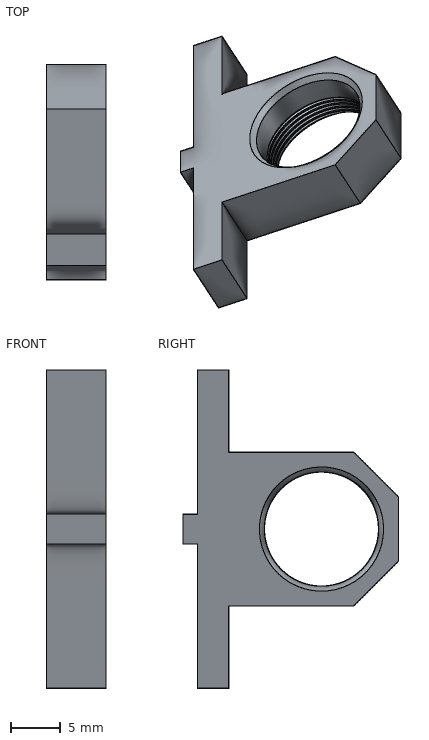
import cadquery as cq

thickness = 6.0
bar_height = 32.0
total_depth = 21.65

bar_depth = 3.17
key_depth = 1.45
key_height = 3.0

body_height = 15.5
corner_cut = 4.5

bore_radius = 11.45 / 2
countersink_radius = 12.48 / 2
countersink_depth = countersink_radius - bore_radius
thread_pitch = 0.5
thread_turns = 4.8
thread_depth = 0.22
groove_mouth = 0.3
groove_root = 0.05
thread_lead_in = 0.1
start_angle = 30
wall_overlap = 0.03

front_face = -thickness / 2
back_face = thickness / 2
body_tip = body_height / 2
key_face = body_tip - total_depth
bar_front = key_face + key_depth
bar_back = bar_front + bar_depth


def block(y_start, y_end, height):
    """Full-thickness block spanning y_start to y_end, centred on X and Z."""
    return cq.Workplane("XY").box(thickness, y_end - y_start, height).translate(
        (0, (y_start + y_end) / 2, 0)
    )


def make_body():
    """Bracket body that joins the crossbar, with 45 degree cuts at its free end."""
    body = block(bar_back, body_tip, body_height)
    return body.faces(">Y").edges("|X").chamfer(corner_cut)


def make_bore():
    """Through bore with a conical countersink at both faces."""
    profile = [
        (front_face, 0),
        (front_face, countersink_radius),
        (front_face + countersink_depth, bore_radius),
        (back_face - countersink_depth, bore_radius),
        (back_face, countersink_radius),
        (back_face, 0),
    ]
    return cq.Workplane("XY").polyline(profile).close().revolve(360, (0, 0, 0), (1, 0, 0))


def make_thread_groove():
    """Helical groove of trapezoid section, starting just inside the front countersink."""
    length = thread_turns * thread_pitch
    inner_radius = bore_radius - wall_overlap
    flank_slope = (groove_mouth - groove_root) / thread_depth
    inner_half_width = (groove_mouth + flank_slope * wall_overlap) / 2
    root_half_width = groove_root / 2
    root_radius = bore_radius + thread_depth
    path = cq.Workplane(cq.Wire.makeHelix(thread_pitch, length, bore_radius))
    section = (
        cq.Workplane("XZ")
        .moveTo(inner_radius, -inner_half_width)
        .lineTo(root_radius, -root_half_width)
        .lineTo(root_radius, root_half_width)
        .lineTo(inner_radius, inner_half_width)
        .close()
    )
    groove = section.sweep(path, isFrenet=True)
    groove = groove.rotate((0, 0, 0), (0, 1, 0), 90)
    groove = groove.rotate((0, 0, 0), (1, 0, 0), start_angle)
    return groove.translate((front_face + countersink_depth - thread_lead_in, 0, 0))


bar = block(bar_front, bar_back, bar_height)
key = block(key_face, bar_front, key_height)
bracket = make_body().union(bar).union(key)
result = bracket.cut(make_thread_groove()).cut(make_bore())